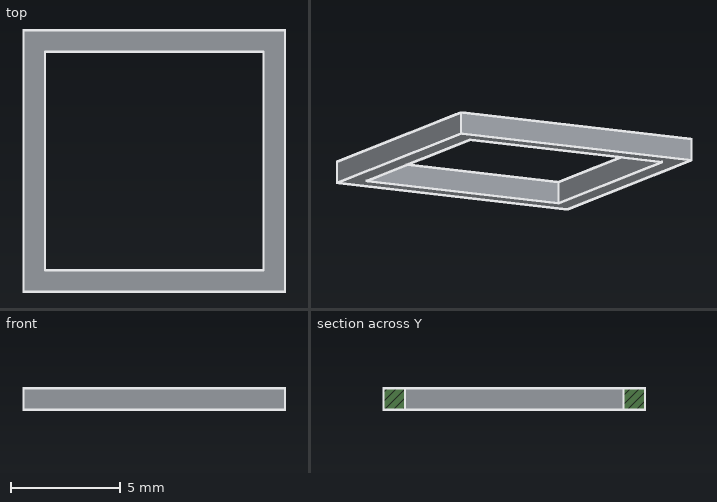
import cadquery as cq

outer_side = 12.0
bar_size = outer_side / 12
opening_side = outer_side - 2 * bar_size

result = (
    cq.Workplane("XY")
    .rect(outer_side, outer_side)
    .rect(opening_side, opening_side)
    .extrude(bar_size)
)